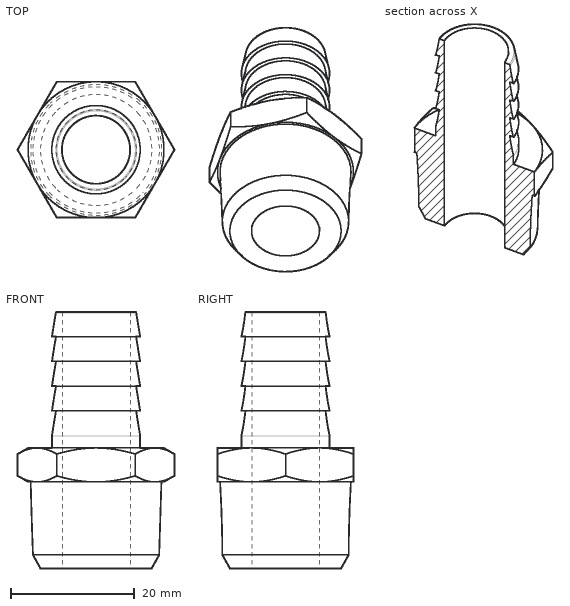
import cadquery as cq
import math

thread_length = 14.0
hex_height = 5.5
collar_height = 2.0
barb_count = 5
barb_pitch = 4.0

thread_taper = 1 / 16
thread_shoulder_diameter = 21.2
thread_lead_height = 2.2
thread_tip_diameter = 18.0

hex_sides = 6
hex_across_flats = 22.0
hex_chamfer_angle = 30.0

barb_diameter = 14.3
barb_root_diameter = 13.0
tip_edge_radius = 0.2

bore_diameter = 11.0

hex_top = thread_length + hex_height
collar_top = hex_top + collar_height
total_height = collar_top + barb_count * barb_pitch
hex_across_corners = hex_across_flats / math.cos(math.pi / hex_sides)
thread_lead_diameter = thread_shoulder_diameter - thread_taper * (thread_length - thread_lead_height)


def revolve_profile(points):
    """Revolve a closed outline of (radius, height) points about Z."""
    return cq.Workplane("XZ").polyline(points).close().revolve(360, (0, 0), (0, 1))


def make_thread_body():
    """Tapered body with a steeper conical lead-in at its free end."""
    return revolve_profile([
        (0, 0),
        (thread_tip_diameter / 2, 0),
        (thread_lead_diameter / 2, thread_lead_height),
        (thread_shoulder_diameter / 2, thread_length),
        (0, thread_length),
    ])


def make_hexagon():
    """Hexagon with corners on the X axis, chamfered conically on both ends."""
    prism = (
        cq.Workplane("XY")
        .workplane(offset=thread_length)
        .polygon(hex_sides, hex_across_corners)
        .extrude(hex_height)
    )
    flat_radius = hex_across_flats / 2
    corner_radius = hex_across_corners / 2
    chamfer_height = (corner_radius - flat_radius) * math.tan(math.radians(hex_chamfer_angle))
    chamfer_envelope = revolve_profile([
        (0, thread_length),
        (flat_radius, thread_length),
        (corner_radius, thread_length + chamfer_height),
        (corner_radius, hex_top - chamfer_height),
        (flat_radius, hex_top),
        (0, hex_top),
    ])
    return prism.intersect(chamfer_envelope)


def make_hose_tail():
    """Cylindrical collar followed by a row of conical barbs."""
    barb_radius = barb_diameter / 2
    root_radius = barb_root_diameter / 2
    points = [(0, hex_top), (barb_radius, hex_top)]
    for barb in range(barb_count):
        barb_base = collar_top + barb * barb_pitch
        points.append((barb_radius, barb_base))
        points.append((root_radius, barb_base + barb_pitch))
    points.append((0, total_height))
    return revolve_profile(points).faces(">Z").edges().fillet(tip_edge_radius)


def make_bore():
    """Straight bore through the whole length."""
    return cq.Workplane("XY").circle(bore_diameter / 2).extrude(total_height)


result = make_thread_body().union(make_hexagon()).union(make_hose_tail()).cut(make_bore())